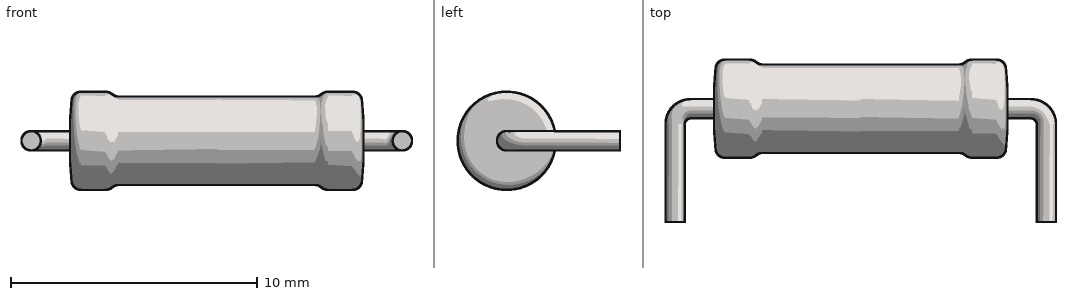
import cadquery as cq
import math

overall_length = 15.86

lead_diameter = 0.8
lead_bend_radius = 0.63
lead_reach = 4.6

barrel_diameter = 3.6
cap_diameter = 4.0
body_half_length = 5.96
end_flat_diameter = 1.59
end_slope_depth = 0.06
cap_edge_radius = 0.4
cap_inner_x = 4.52
barrel_end_x = 4.0
inflection_x = 4.23

lead_axis_x = (overall_length - lead_diameter) / 2
barrel_radius = barrel_diameter / 2
cap_radius = cap_diameter / 2
end_flat_radius = end_flat_diameter / 2

blend_length = cap_inner_x - barrel_end_x
blend_angle = 2 * math.atan((cap_radius - barrel_radius) / blend_length)
convex_radius = (cap_inner_x - inflection_x) / math.sin(blend_angle)
concave_radius = (inflection_x - barrel_end_x) / math.sin(blend_angle)


def arc_point(center, radius, angle):
    """Point on a circle, with the angle in radians from +X."""
    return (center[0] + radius * math.cos(angle), center[1] + radius * math.sin(angle))


def make_body():
    """Barrel with two swollen end caps, revolved about X and mirrored."""
    edge_center = (body_half_length - end_slope_depth - cap_edge_radius, cap_radius - cap_edge_radius)
    convex_center = (cap_inner_x, cap_radius - convex_radius)
    concave_center = (barrel_end_x, barrel_radius + concave_radius)
    up = math.pi / 2
    inflection = arc_point(convex_center, convex_radius, up + blend_angle)

    half = (
        cq.Workplane("XY")
        .moveTo(0, 0)
        .lineTo(0, barrel_radius)
        .lineTo(barrel_end_x, barrel_radius)
        .threePointArc(arc_point(concave_center, concave_radius, -up + blend_angle / 2), inflection)
        .threePointArc(
            arc_point(convex_center, convex_radius, up + blend_angle / 2), (cap_inner_x, cap_radius)
        )
        .lineTo(edge_center[0], cap_radius)
        .threePointArc(
            arc_point(edge_center, cap_edge_radius, up / 2), arc_point(edge_center, cap_edge_radius, 0)
        )
        .lineTo(body_half_length, end_flat_radius)
        .lineTo(body_half_length, 0)
        .close()
        .revolve(360, (0, 0, 0), (1, 0, 0))
    )
    return half.union(half.mirror("YZ"))


def make_lead(side):
    """Round wire from the body's end face (side = -1 or +1), bent toward -Y."""
    bend_start_x = lead_axis_x - lead_bend_radius
    bend_mid = arc_point((bend_start_x, -lead_bend_radius), lead_bend_radius, math.pi / 4)
    path = (
        cq.Workplane("XY")
        .moveTo(side * body_half_length, 0)
        .lineTo(side * bend_start_x, 0)
        .threePointArc((side * bend_mid[0], bend_mid[1]), (side * lead_axis_x, -lead_bend_radius))
        .lineTo(side * lead_axis_x, -lead_reach)
    )
    wire_section = cq.Workplane("YZ", origin=(side * body_half_length, 0, 0)).circle(lead_diameter / 2)
    return wire_section.sweep(path)


body = make_body()
leads = [make_lead(side) for side in (-1, 1)]

result = cq.Compound.makeCompound([body.val(), *[lead.val() for lead in leads]])